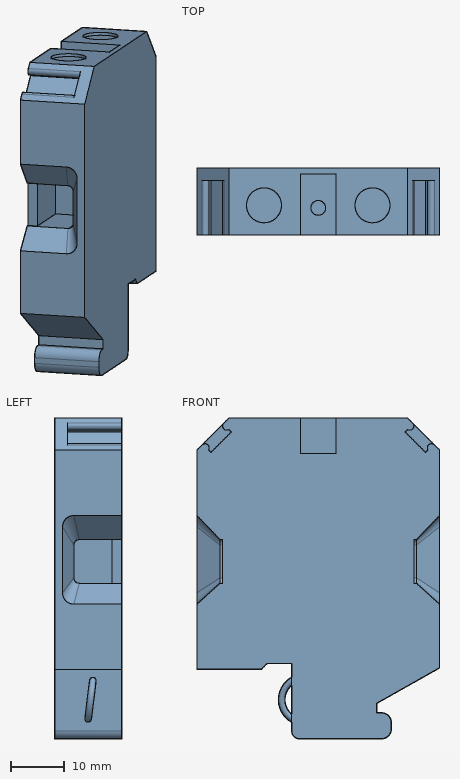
import cadquery as cq
import math

width = 45.0
thickness = 12.5
height = 59.5
half_width = width / 2
front_y = -thickness / 2
corner_chamfer = 5.95

left_bottom_z = 12.9
right_bottom_z = 13.15
relief_left_x = -10.55
relief_rise = 1.1
foot_left_x = -4.95
foot_heel_radius = 1.5
neck_x = 10.9
neck_top_z = 6.6
toe_right_x = 13.55
toe_height = 4.9
toe_radius = 1.9

pocket_taper_depth = 4.3
pocket_floor_step = 0.4
mouth_bottom_z = 25.0
mouth_top_z = 41.4
mouth_reach = 11.0
mouth_radius = 2.1
floor_bottom_z = 28.85
floor_top_z = 36.95
floor_reach = 8.9
floor_radius = 1.0
wire_passage_depth = 11.9
passage_front_wall = 1.85

label_reach = 10.1
label_depth = 2.15
label_half_length = 2.7
lip_radius = 0.8
lip_center_offset = 2.85

slot_width = 6.55
slot_depth = 6.55
slot_reach = 11.35
screw_diameter = 6.5
screw_depth = 0.55
screw_x = 10.05
screw_y = -0.7
pin_hole_diameter = 2.75
pin_hole_depth = 0.6
pin_hole_y = -1.2

ring_radius = 4.15
ring_wire_diameter = 1.25
ring_center = (-2.6, -0.4, 7.25)
ring_tilt = 7.0


def make_housing():
    outline = (
        cq.Workplane("XZ", origin=(0, front_y, 0))
        .moveTo(-half_width, left_bottom_z)
        .lineTo(relief_left_x, left_bottom_z)
        .lineTo(relief_left_x + relief_rise, left_bottom_z + relief_rise)
        .lineTo(foot_left_x, left_bottom_z + relief_rise)
        .lineTo(foot_left_x, foot_heel_radius)
        .radiusArc((foot_left_x + foot_heel_radius, 0), -foot_heel_radius)
        .lineTo(toe_right_x - toe_radius, 0)
        .radiusArc((toe_right_x, toe_radius), -toe_radius)
        .lineTo(toe_right_x, toe_height - toe_radius)
        .radiusArc((toe_right_x - toe_radius, toe_height), -toe_radius)
        .lineTo(neck_x, toe_height)
        .lineTo(neck_x, neck_top_z)
        .lineTo(half_width, right_bottom_z)
        .lineTo(half_width, height - corner_chamfer)
        .lineTo(half_width - corner_chamfer, height)
        .lineTo(-half_width + corner_chamfer, height)
        .lineTo(-half_width, height - corner_chamfer)
        .close()
    )
    return outline.extrude(-thickness)


def pocket_section(x, bottom_z, top_z, reach, radius):
    """Rectangle across X, open-side edge on the front face, back corners rounded."""
    back_y = front_y + reach
    return (
        cq.Workplane("YZ", origin=(x, 0, 0))
        .moveTo(front_y, bottom_z)
        .lineTo(back_y - radius, bottom_z)
        .radiusArc((back_y, bottom_z + radius), -radius)
        .lineTo(back_y, top_z - radius)
        .radiusArc((back_y - radius, top_z), -radius)
        .lineTo(front_y, top_z)
        .close()
    )


def make_left_side_pocket():
    mouth = pocket_section(-half_width, mouth_bottom_z, mouth_top_z, mouth_reach, mouth_radius)
    floor_x = -half_width + pocket_taper_depth
    floor = pocket_section(floor_x, floor_bottom_z, floor_top_z, floor_reach, floor_radius)
    taper = cq.Solid.makeLoft([mouth.wire().val(), floor.wire().val()], True)
    floor_face = cq.Face.makeFromWires(floor.val())
    passage_room = cq.Workplane("XY", origin=(floor_x, front_y + passage_front_wall, 0)).box(
        wire_passage_depth, thickness, height, centered=False
    )
    passage_sweep = cq.Solid.extrudeLinear(floor_face, cq.Vector(wire_passage_depth, 0, 0))
    step = cq.Solid.extrudeLinear(floor_face, cq.Vector(pocket_floor_step, 0, 0))
    passage = passage_room.intersect(cq.Workplane(passage_sweep))
    return cq.Workplane(taper).union(cq.Workplane(step)).union(passage)


def make_left_label_pocket():
    chamfer_middle = (-half_width + corner_chamfer / 2, front_y, height - corner_chamfer / 2)
    chamfer_plane = cq.Plane(origin=chamfer_middle, xDir=(1, 0, 1), normal=(0, -1, 0))
    lip_inset = lip_center_offset - label_half_length
    lip_end_depth = lip_radius + math.sqrt(lip_radius**2 - lip_inset**2)
    lip_inner = lip_center_offset - lip_radius
    profile = (
        cq.Workplane(chamfer_plane)
        .moveTo(-lip_center_offset, 0)
        .threePointArc((-lip_inner, -lip_radius), (-label_half_length, -lip_end_depth))
        .lineTo(-label_half_length, -label_depth)
        .lineTo(label_half_length, -label_depth)
        .lineTo(label_half_length, -lip_end_depth)
        .threePointArc((lip_inner, -lip_radius), (lip_center_offset, 0))
        .close()
    )
    return profile.extrude(-label_reach)


def make_top_cuts():
    slot_floor_z = height - slot_depth
    slot = cq.Workplane("XY", origin=(0, front_y + slot_reach / 2, slot_floor_z)).box(
        slot_width, slot_reach, slot_depth, centered=(True, True, False)
    )
    screws = (
        cq.Workplane("XY", origin=(0, screw_y, height))
        .pushPoints([(-screw_x, 0), (screw_x, 0)])
        .circle(screw_diameter / 2)
        .extrude(-screw_depth)
    )
    pin_hole = (
        cq.Workplane("XY", origin=(0, pin_hole_y, slot_floor_z))
        .circle(pin_hole_diameter / 2)
        .extrude(-pin_hole_depth)
    )
    return slot.union(pin_hole).union(screws)


def make_ring():
    tilt = math.radians(ring_tilt)
    axis = cq.Vector(0, math.cos(tilt), math.sin(tilt))
    ring = cq.Solid.makeTorus(ring_radius, ring_wire_diameter / 2, cq.Vector(*ring_center), axis)
    return cq.Workplane(ring)


result = make_housing()
for left_cut in (make_left_side_pocket(), make_left_label_pocket()):
    result = result.cut(left_cut).cut(left_cut.mirror("YZ"))
result = result.cut(make_top_cuts())
result = result.union(make_ring())